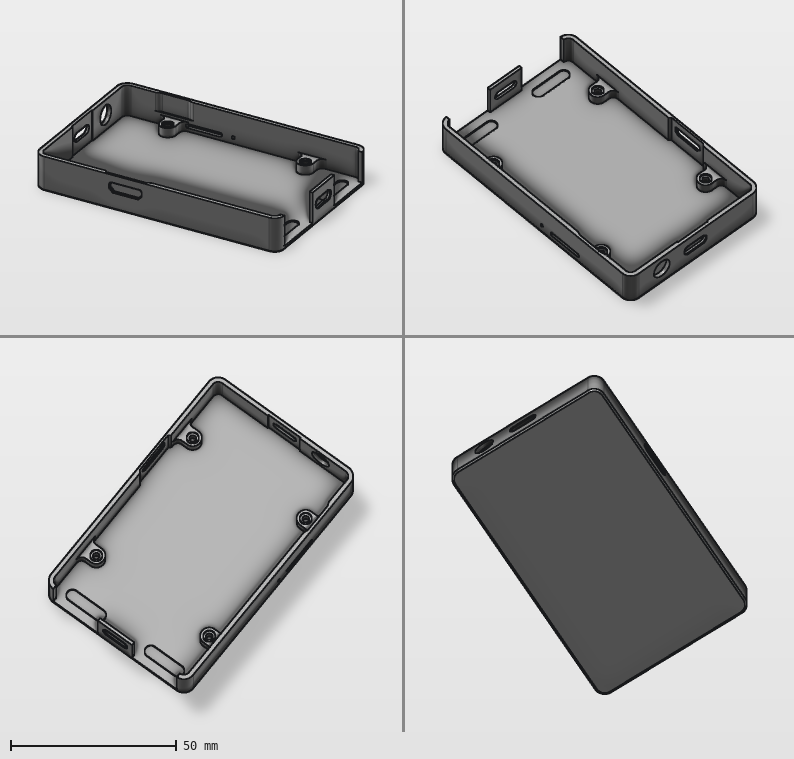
import cadquery as cq
import math

LENGTH = 85.5
WIDTH = 54.0
HEIGHT = 11.9
WALL = 1.5
FLOOR = 1.5
CORNER_RADIUS = 3.5
BOTTOM_CHAMFER = 0.6
INNER_LENGTH = LENGTH - 2 * WALL
INNER_WIDTH = WIDTH - 2 * WALL
INNER_RADIUS = CORNER_RADIUS - WALL
WALL_HEIGHT = HEIGHT - FLOOR

OPENING_WIDTH = WIDTH - 2 * CORNER_RADIUS
TAB_WIDTH = 13.0
TAB_THICKNESS = 1.1

BOSS_X = 24.0
BOSS_Y = 21.5
BOSS_DIAMETER = 5.5
BOSS_HEIGHT = 3.2
BOSS_FILLET = 2.0
BOSS_HOLE_DIAMETER = 2.1
BOSS_COUNTERBORE_DIAMETER = 3.7
BOSS_COUNTERBORE_DEPTH = 0.6

RECESS_X = 37.65
RECESS_Y = 14.9
RECESS_LENGTH = 14.2
RECESS_WIDTH = 3.8
RECESS_DEPTH = 0.5

END_PORT_Z = 6.7
ROUND_PORT_Y = 13.9
ROUND_PORT_DIAMETER = 6.5
END_SLOT_LENGTH = 8.8
END_SLOT_HEIGHT = 3.0
MOUTH_CHAMFER = 0.25

SIDE_PORT_X = -10.8
SIDE_PORT_Z = 7.6
SIDE_PORT_LENGTH = 11.0
SIDE_PORT_HEIGHT = 3.0
SIDE_PORT_RADIUS = 0.8
SIDE_PORT_BEVEL = 1.2

END_RELIEF_WIDTH = 12.2
END_RELIEF_DEPTH = 0.35
SIDE_RELIEF_LENGTH = 14.1
SIDE_RELIEF_DEPTH = 0.7
BACK_RELIEF_X = -24.1
BACK_RELIEF_LENGTH = 13.2
BACK_RELIEF_DEPTH = 0.5
BACK_RELIEF_RADIUS = 2.5
BACK_RELIEF_BOTTOM = 5.6

CARD_SLOT_LEFT = -20.0
CARD_SLOT_RIGHT = -7.4
CARD_SLOT_HEIGHT = 1.4
CARD_SLOT_Z = 3.35
PIN_HOLE_X = -3.5
PIN_HOLE_Z = 3.6
PIN_HOLE_DIAMETER = 1.0


def box_between(x_range, y_range, z_range):
    """Axis-aligned box given by its lower and upper limits."""
    size = [high - low for low, high in (x_range, y_range, z_range)]
    corner = (x_range[0], y_range[0], z_range[0])
    return cq.Workplane("XY").box(*size, centered=False).translate(corner)


def make_tray():
    outer = cq.Workplane("XY").rect(LENGTH, WIDTH).extrude(HEIGHT)
    outer = outer.edges("|Z").fillet(CORNER_RADIUS)
    outer = outer.faces("<Z").edges().chamfer(BOTTOM_CHAMFER)
    cavity = cq.Workplane("XY").workplane(offset=FLOOR).rect(INNER_LENGTH, INNER_WIDTH)
    cavity = cavity.extrude(WALL_HEIGHT).edges("|Z").fillet(INNER_RADIUS)
    return outer.cut(cavity)


def make_wall_opening():
    """Space between the +X corners, leaving the tab standing."""
    opening = box_between(
        (INNER_LENGTH / 2 - INNER_RADIUS, LENGTH / 2),
        (-OPENING_WIDTH / 2, OPENING_WIDTH / 2),
        (FLOOR, HEIGHT),
    )
    tab = box_between(
        (LENGTH / 2 - TAB_THICKNESS, LENGTH / 2),
        (-TAB_WIDTH / 2, TAB_WIDTH / 2),
        (FLOOR, HEIGHT),
    )
    return opening.cut(tab)


def make_boss():
    """Boss for the +X +Y position, flaring into the +Y wall."""
    radius = BOSS_DIAMETER / 2
    wall_y = INNER_WIDTH / 2
    flare_y = wall_y - BOSS_FILLET
    flare_x = radius + BOSS_FILLET
    arc_offset = BOSS_FILLET * math.sqrt(0.5)
    arc_y = flare_y + arc_offset
    arc_x = flare_x - arc_offset
    return (
        cq.Workplane("XY")
        .workplane(offset=FLOOR)
        .moveTo(BOSS_X - radius, BOSS_Y)
        .threePointArc((BOSS_X, BOSS_Y - radius), (BOSS_X + radius, BOSS_Y))
        .lineTo(BOSS_X + radius, flare_y)
        .threePointArc((BOSS_X + arc_x, arc_y), (BOSS_X + flare_x, wall_y))
        .lineTo(BOSS_X - flare_x, wall_y)
        .threePointArc((BOSS_X - arc_x, arc_y), (BOSS_X - radius, flare_y))
        .close()
        .extrude(BOSS_HEIGHT)
        .faces(">Z")
        .workplane(origin=(BOSS_X, BOSS_Y, 0))
        .cboreHole(BOSS_HOLE_DIAMETER, BOSS_COUNTERBORE_DIAMETER, BOSS_COUNTERBORE_DEPTH, BOSS_HEIGHT)
    )


def make_floor_recesses():
    return (
        cq.Workplane("XY")
        .workplane(offset=FLOOR - RECESS_DEPTH)
        .pushPoints([(RECESS_X, RECESS_Y), (RECESS_X, -RECESS_Y)])
        .slot2D(RECESS_LENGTH, RECESS_WIDTH, 90)
        .extrude(RECESS_DEPTH)
    )


def make_end_slot():
    """Slot along the whole length, through the -X wall and the tab, flared at both mouths."""
    plane = cq.Plane(origin=(-LENGTH / 2, 0, END_PORT_Z), xDir=(0, 1, 0), normal=(1, 0, 0))
    slot = cq.Workplane(plane).slot2D(END_SLOT_LENGTH, END_SLOT_HEIGHT).extrude(LENGTH)
    mouth = cq.Workplane(plane).slot2D(
        END_SLOT_LENGTH + 2 * MOUTH_CHAMFER,
        END_SLOT_HEIGHT + 2 * MOUTH_CHAMFER,
    )
    mouth = mouth.extrude(MOUTH_CHAMFER, taper=45)
    return slot.union(mouth).union(mouth.mirror("YZ"))


def make_round_port():
    plane = cq.Plane(origin=(-LENGTH / 2, ROUND_PORT_Y, END_PORT_Z), xDir=(0, 1, 0), normal=(1, 0, 0))
    return cq.Workplane(plane).circle(ROUND_PORT_DIAMETER / 2).extrude(WALL)


def make_side_port():
    """Port through the -Y wall, chamfered around its outer mouth."""
    plane = cq.Plane(origin=(SIDE_PORT_X, -WIDTH / 2, SIDE_PORT_Z), xDir=(-1, 0, 0), normal=(0, 1, 0))
    port = cq.Workplane(plane).rect(SIDE_PORT_LENGTH, SIDE_PORT_HEIGHT).extrude(WALL)
    port = port.edges("|Y and >Z").fillet(SIDE_PORT_RADIUS)
    port = port.edges("|Y and <Z").chamfer(SIDE_PORT_BEVEL)
    outline = port.faces(">Y").wires().val().translate(cq.Vector(0, -WALL, 0))
    mouth = cq.Workplane(plane).add(outline).toPending().offset2D(MOUTH_CHAMFER)
    return port.union(mouth.extrude(MOUTH_CHAMFER, taper=45))


def make_end_relief():
    inner_x = -INNER_LENGTH / 2
    return box_between(
        (inner_x - END_RELIEF_DEPTH, inner_x),
        (-END_RELIEF_WIDTH / 2, END_RELIEF_WIDTH / 2),
        (FLOOR, HEIGHT),
    )


def make_side_relief():
    """Relief behind the side port, with ends sloping at 45 degrees."""
    inner_y = -INNER_WIDTH / 2
    deep_y = inner_y - SIDE_RELIEF_DEPTH
    deep_half = SIDE_RELIEF_LENGTH / 2
    rim_half = deep_half + SIDE_RELIEF_DEPTH
    outline = [
        (SIDE_PORT_X - rim_half, inner_y),
        (SIDE_PORT_X - deep_half, deep_y),
        (SIDE_PORT_X + deep_half, deep_y),
        (SIDE_PORT_X + rim_half, inner_y),
    ]
    return cq.Workplane("XY").workplane(offset=FLOOR).polyline(outline).close().extrude(WALL_HEIGHT)


def make_back_relief():
    """Relief in the +Y wall whose ends are S-curves of two equal tangent arcs."""
    radius = BACK_RELIEF_RADIUS
    depth = BACK_RELIEF_DEPTH
    sweep = math.acos(1 - depth / (2 * radius))
    arc_run = radius * math.sin(sweep)
    mid_run = radius * math.sin(sweep / 2)
    mid_rise = radius * (1 - math.cos(sweep / 2))
    rim_y = INNER_WIDTH / 2
    deep_y = rim_y + depth
    half_y = rim_y + depth / 2
    left = BACK_RELIEF_X - BACK_RELIEF_LENGTH / 2
    right = BACK_RELIEF_X + BACK_RELIEF_LENGTH / 2
    return (
        cq.Workplane("XY")
        .workplane(offset=BACK_RELIEF_BOTTOM)
        .moveTo(left, rim_y)
        .threePointArc((left + mid_run, rim_y + mid_rise), (left + arc_run, half_y))
        .threePointArc((left + 2 * arc_run - mid_run, deep_y - mid_rise), (left + 2 * arc_run, deep_y))
        .lineTo(right - 2 * arc_run, deep_y)
        .threePointArc((right - 2 * arc_run + mid_run, deep_y - mid_rise), (right - arc_run, half_y))
        .threePointArc((right - mid_run, rim_y + mid_rise), (right, rim_y))
        .close()
        .extrude(HEIGHT - BACK_RELIEF_BOTTOM)
    )


def make_back_openings():
    """Rounded card slot and pin hole through the +Y wall."""
    plane = cq.Plane(origin=(0, INNER_WIDTH / 2, 0), xDir=(-1, 0, 0), normal=(0, 1, 0))
    slot_x = (CARD_SLOT_LEFT + CARD_SLOT_RIGHT) / 2
    slot = (
        cq.Workplane(plane)
        .center(-slot_x, CARD_SLOT_Z)
        .slot2D(CARD_SLOT_RIGHT - CARD_SLOT_LEFT, CARD_SLOT_HEIGHT)
        .extrude(WALL)
    )
    pin_hole = cq.Workplane(plane).center(-PIN_HOLE_X, PIN_HOLE_Z).circle(PIN_HOLE_DIAMETER / 2).extrude(WALL)
    return slot.union(pin_hole)


result = make_tray().cut(make_wall_opening())

boss = make_boss()
boss_row = boss.union(boss.mirror("YZ"))
result = result.union(boss_row).union(boss_row.mirror("XZ"))

for cutter in (
    make_floor_recesses(),
    make_end_slot(),
    make_round_port(),
    make_side_port(),
    make_end_relief(),
    make_side_relief(),
    make_back_relief(),
    make_back_openings(),
):
    result = result.cut(cutter)